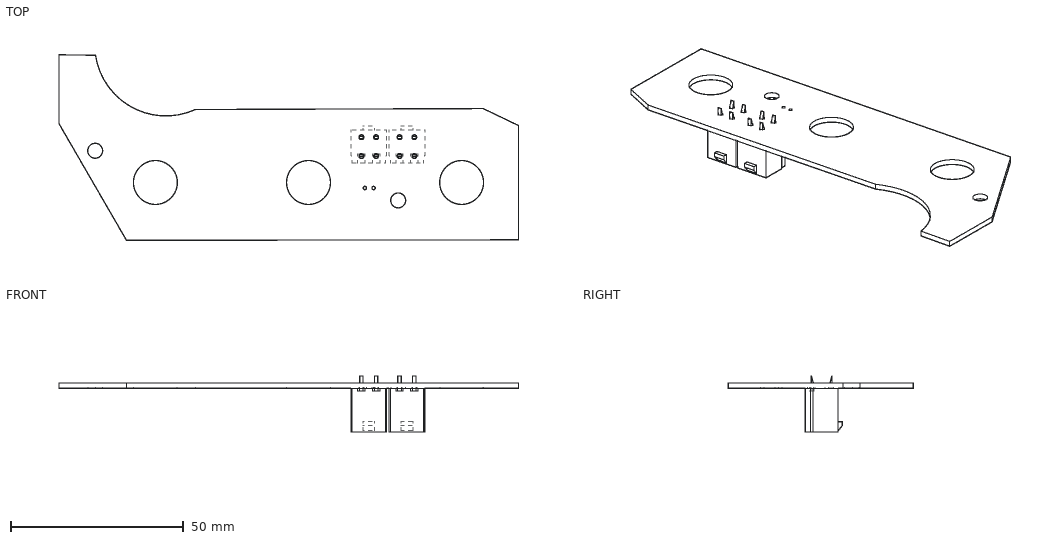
import cadquery as cq

BOARD_LENGTH = 133.1
BOARD_WIDTH = 53.8
BOARD_THICKNESS = 1.6

LEFT_EDGE_LOW_Y = 33.8
SLANT_FOOT_X = 19.6
RIGHT_EDGE_LOW_Y = 0.1
RIGHT_EDGE_HIGH_Y = 33.3
CORNER_CUT = (122.9, 38.2)
BAY_RIGHT = (39.5, 38.0)
BAY_LOWEST = (31.3, 36.1)
BAY_LEFT = (10.6, 53.6)

LARGE_HOLE_DIAMETER = 12.6
LARGE_HOLE_COUNT = 3
LARGE_HOLE_PITCH = 44.3
FIRST_LARGE_HOLE = (28.0, 16.8)

MOUNTING_HOLE_DIAMETER = 4.3
MOUNTING_HOLES = [(10.5, 26.0), (98.2, 11.6)]

LEAD_HOLE_DIAMETER = 0.9
LEAD_HOLE_PITCH = 2.5
LEAD_HOLES_CENTER = (89.9, 15.2)

CONNECTOR_COUNT = 2
CONNECTOR_PITCH = 11.0
FIRST_CONNECTOR = (89.7, 27.2)

HOUSING_WIDTH = 10.4
HOUSING_DEPTH = 9.6
HOUSING_HEIGHT = 12.6
FRONT_INSET = 0.4
FRONT_LENGTH = 1.6
INSET_SLOPE_LENGTH = 0.7

LATCH_WIDTH = 3.5
LATCH_REACH = 1.2
LATCH_TOP = 3.0
LATCH_SLOPE_TOP = 1.9
LATCH_SLOPE_FOOT = 0.4

PIN_PITCH_X = 4.3
PIN_PITCH_Y = 5.5
PIN_WIDTH = 1.0
PIN_THICKNESS = 0.7
PIN_TIP_THICKNESS = 0.1
PIN_HEIGHT = 2.0
PIN_HOLE_DIAMETER = 1.5

NOTCH_WIDTH = 2.1
NOTCH_DEPTH = 0.8
NOTCH_BACK_CLEARANCE = 0.5

connector_centers = [
    (FIRST_CONNECTOR[0] + i * CONNECTOR_PITCH, FIRST_CONNECTOR[1]) for i in range(CONNECTOR_COUNT)
]
pin_offsets = [
    (side * PIN_PITCH_X / 2, row * PIN_PITCH_Y / 2) for side in (-1, 1) for row in (-1, 1)
]


def board_outline():
    return (
        cq.Workplane("XY")
        .moveTo(0, BOARD_WIDTH)
        .lineTo(0, LEFT_EDGE_LOW_Y)
        .lineTo(SLANT_FOOT_X, 0)
        .lineTo(BOARD_LENGTH, RIGHT_EDGE_LOW_Y)
        .lineTo(BOARD_LENGTH, RIGHT_EDGE_HIGH_Y)
        .lineTo(*CORNER_CUT)
        .lineTo(*BAY_RIGHT)
        .threePointArc(BAY_LOWEST, BAY_LEFT)
        .close()
    )


def through_holes(centers, diameter):
    return cq.Workplane("XY").pushPoints(centers).circle(diameter / 2).extrude(BOARD_THICKNESS)


def make_board():
    large_holes = [
        (FIRST_LARGE_HOLE[0] + i * LARGE_HOLE_PITCH, FIRST_LARGE_HOLE[1]) for i in range(LARGE_HOLE_COUNT)
    ]
    lead_holes = [
        (LEAD_HOLES_CENTER[0] + side * LEAD_HOLE_PITCH / 2, LEAD_HOLES_CENTER[1]) for side in (-1, 1)
    ]
    pin_holes = [(cx + dx, cy + dy) for cx, cy in connector_centers for dx, dy in pin_offsets]
    return (
        board_outline()
        .extrude(BOARD_THICKNESS)
        .cut(through_holes(large_holes, LARGE_HOLE_DIAMETER))
        .cut(through_holes(MOUNTING_HOLES, MOUNTING_HOLE_DIAMETER))
        .cut(through_holes(lead_holes, LEAD_HOLE_DIAMETER))
        .cut(through_holes(pin_holes, PIN_HOLE_DIAMETER))
    )


def make_housing():
    """Block centred on X = 0, Y = 0 with its top at Z = 0 and its front on the -Y side."""
    half_width = HOUSING_WIDTH / 2
    half_front = half_width - FRONT_INSET
    front = -HOUSING_DEPTH / 2
    back = HOUSING_DEPTH / 2
    slope_start = front + FRONT_LENGTH
    slope_end = slope_start + INSET_SLOPE_LENGTH
    outline = [
        (-half_front, front),
        (half_front, front),
        (half_front, slope_start),
        (half_width, slope_end),
        (half_width, back),
        (-half_width, back),
        (-half_width, slope_end),
        (-half_front, slope_start),
    ]
    return cq.Workplane("XY").polyline(outline).close().extrude(-HOUSING_HEIGHT)


def make_latch():
    """Ramp on the back face of the housing."""
    back = HOUSING_DEPTH / 2
    bottom = -HOUSING_HEIGHT
    profile = [
        (back, bottom + LATCH_TOP),
        (back + LATCH_REACH, bottom + LATCH_TOP),
        (back + LATCH_REACH, bottom + LATCH_SLOPE_TOP),
        (back, bottom + LATCH_SLOPE_FOOT),
    ]
    return cq.Workplane("YZ").polyline(profile).close().extrude(LATCH_WIDTH / 2, both=True)


def make_notch(pin_x, pin_y):
    """Block that opens the housing top from the front face to just behind a front pin."""
    front = -HOUSING_DEPTH / 2
    length = pin_y + NOTCH_BACK_CLEARANCE - front
    return (
        cq.Workplane("XY")
        .box(NOTCH_WIDTH, length, NOTCH_DEPTH, centered=(True, False, False))
        .translate((pin_x, front, -NOTCH_DEPTH))
    )


def make_pin(pin_x, pin_y):
    """Flat pin whose part above the board tapers on the side that faces the other row of pins."""
    outward = 1 if pin_y > 0 else -1
    outer = pin_y + outward * PIN_THICKNESS / 2
    inner = pin_y - outward * PIN_THICKNESS / 2
    tip_inner = outer - outward * PIN_TIP_THICKNESS
    top = BOARD_THICKNESS + PIN_HEIGHT
    profile = [
        (outer, -NOTCH_DEPTH),
        (outer, top),
        (tip_inner, top),
        (inner, BOARD_THICKNESS),
        (inner, -NOTCH_DEPTH),
    ]
    return (
        cq.Workplane("YZ", origin=(pin_x, 0, 0))
        .polyline(profile)
        .close()
        .extrude(PIN_WIDTH / 2, both=True)
    )


def make_connector(center):
    connector = make_housing().union(make_latch())
    for pin_x, pin_y in pin_offsets:
        if pin_y < 0:
            connector = connector.cut(make_notch(pin_x, pin_y))
        connector = connector.union(make_pin(pin_x, pin_y))
    return connector.translate((center[0], center[1], 0))


board = make_board()
connectors = [make_connector(center) for center in connector_centers]

result = cq.Compound.makeCompound(
    [board.solids().val(), *[connector.solids().val() for connector in connectors]]
)